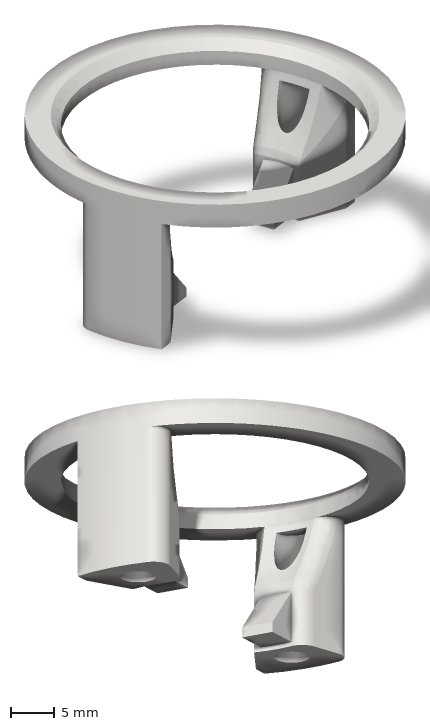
import cadquery as cq
import math

outer_radius = 22.0
bore_radius = 35.6 / 2
ring_height = 3.0
bore_chamfer = 1.2

total_height = 19.4
leg_inner_radius = 14.05
leg_half_angle = 15.5
corner_fillet = 2.0
leg_stock = 2.2
flat_outer_end = 19.25
flat_inner_angle = 11.8

hollow_mid = (16.35, -7.3)
hollow_foot = (14.4, -11.3)
inner_wall_top = -12.28

bevel_run = 2.65
bevel_drop = 2.65
bevel_spread = 3.5

hole_diameter = 4.1
hole_center = 17.45
hole_top = -4.0

hook_width = 4.1
hook_tip = 9.6
hook_bottom = -18.88
hook_tip_top = -17.7
hook_root_top = -12.65
hook_overlap = 0.45


def leg_point(radius, angle):
    """Plan point of the -Y leg, with the angle measured from -Y toward +X."""
    turn = math.radians(angle)
    return (radius * math.sin(turn), -radius * math.cos(turn))


def make_ring():
    disc = cq.Workplane("XY").circle(outer_radius).extrude(-ring_height)
    opening = (
        cq.Workplane("XZ")
        .polyline([
            (0, 0),
            (bore_radius + bore_chamfer, 0),
            (bore_radius, -bore_chamfer),
            (bore_radius, -ring_height),
            (0, -ring_height),
        ])
        .close()
        .revolve(360, (0, 0), (0, 1))
    )
    return disc.cut(opening)


def hollow_outline(plane, drop=0, spread=0):
    """Radius-height outline of the space inside a leg, optionally moved down and outward."""
    return (
        plane.moveTo(0, 0)
        .lineTo(bore_radius + spread, 0)
        .lineTo(bore_radius + spread, -ring_height - drop)
        .threePointArc(
            (hollow_mid[0] + spread, hollow_mid[1] - drop),
            (hollow_foot[0] + spread, hollow_foot[1] - drop),
        )
        .lineTo(leg_inner_radius + spread, inner_wall_top - drop)
        .lineTo(0, inner_wall_top - drop)
        .close()
    )


def make_leg_body():
    flank_x = leg_point(outer_radius, leg_half_angle)[0]
    beyond_ring = outer_radius + leg_stock
    body = (
        cq.Workplane("XY")
        .workplane(offset=-ring_height)
        .moveTo(*leg_point(leg_inner_radius, -leg_half_angle))
        .lineTo(*leg_point(beyond_ring, -leg_half_angle))
        .lineTo(flank_x, -beyond_ring)
        .lineTo(flank_x, -flat_outer_end)
        .lineTo(*leg_point(leg_inner_radius, flat_inner_angle))
        .threePointArc((0, -leg_inner_radius), leg_point(leg_inner_radius, -leg_half_angle))
        .close()
        .extrude(ring_height - total_height)
    )
    body = body.intersect(cq.Workplane("XY").circle(outer_radius).extrude(-total_height))
    hollow = hollow_outline(cq.Workplane("XZ")).revolve(360, (0, 0), (0, 1))
    body = body.cut(hollow)

    flank_middle = leg_point((leg_inner_radius + outer_radius) / 2, -leg_half_angle)
    flank = body.faces(cq.selectors.NearestToPointSelector((*flank_middle, -total_height / 2)))
    rounded = flank.edges("not(#Z)")
    return rounded.fillet(corner_fillet)


def make_flank_bevel():
    """Sloping cut along the upper +X edge, widening toward the ring."""
    radial = leg_point(1, flat_inner_angle)
    inward_normal = (radial[1], -radial[0], 0)
    plane = cq.Plane(origin=(0, 0, 0), xDir=(*radial, 0), normal=inward_normal)
    start = hollow_outline(cq.Workplane(plane))
    end = start.workplane(offset=-bevel_run)
    return hollow_outline(end, bevel_drop, bevel_spread).loft(ruled=True)


def make_hole():
    return (
        cq.Workplane("XY")
        .workplane(offset=hole_top)
        .center(0, -hole_center)
        .circle(hole_diameter / 2)
        .extrude(-total_height)
    )


def make_hook():
    root = -leg_inner_radius - hook_overlap
    return (
        cq.Workplane("YZ")
        .polyline([
            (root, hook_bottom),
            (-hook_tip, hook_bottom),
            (-hook_tip, hook_tip_top),
            (-leg_inner_radius, hook_root_top),
            (root, hook_root_top),
        ])
        .close()
        .extrude(hook_width / 2, both=True)
    )


leg = make_leg_body().cut(make_flank_bevel()).cut(make_hole()).union(make_hook())
result = make_ring().union(leg).union(leg.mirror("XZ"))